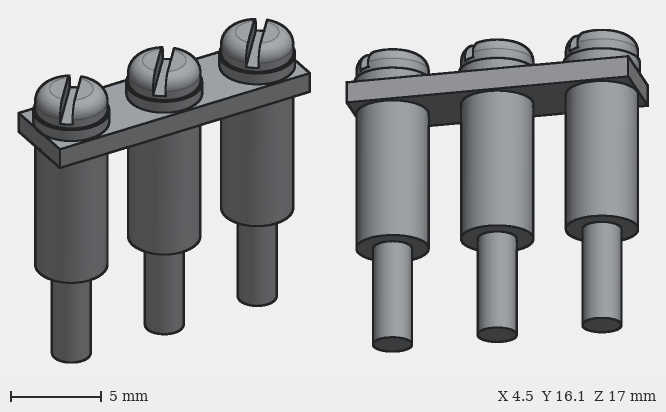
import cadquery as cq

total_height = 17.0
head_height = 1.4
washer_thickness = 0.7
bar_thickness = 1.2
sleeve_length = 8.0

bar_width = 4.5
bar_length = 16.0

screw_count = 3
screw_pitch = 5.95

shank_diameter = 2.16
head_diameter = 4.0
washer_diameter = 4.2
sleeve_diameter = 4.0

head_round = 0.8
under_head_round = 0.1
slot_width = 0.7
slot_depth = 1.1
slot_angle = -38.5

washer_top = total_height - head_height
bar_top = washer_top - washer_thickness
bar_bottom = bar_top - bar_thickness
sleeve_bottom = bar_bottom - sleeve_length

screw_positions = [(i - (screw_count - 1) / 2) * screw_pitch for i in range(screw_count)]


def make_ring(y, outer_diameter, bottom, height):
    """Round ring that fits closely around the screw shank."""
    return (
        cq.Workplane("XY", origin=(0, y, bottom))
        .circle(outer_diameter / 2)
        .circle(shank_diameter / 2)
        .extrude(height)
    )


def make_washer(y):
    """Plain washer between the screw head and the bar."""
    return make_ring(y, washer_diameter, bar_top, washer_thickness)


def make_sleeve(y):
    """Spacer sleeve under the bar."""
    return make_ring(y, sleeve_diameter, sleeve_bottom, sleeve_length)


def make_screw(y):
    """Slotted pan-head screw whose shank runs through the whole stack."""
    shank = cq.Workplane("XY").circle(shank_diameter / 2).extrude(washer_top)
    head = (
        cq.Workplane("XY", origin=(0, 0, washer_top))
        .circle(head_diameter / 2)
        .extrude(head_height)
        .faces(">Z")
        .edges()
        .fillet(head_round)
        .faces("<Z")
        .edges()
        .fillet(under_head_round)
    )
    slot = (
        cq.Workplane("XY", origin=(0, 0, total_height - slot_depth))
        .rect(2 * head_diameter, slot_width)
        .extrude(slot_depth)
        .rotate((0, 0, 0), (0, 0, 1), slot_angle)
    )
    return shank.union(head).cut(slot).translate((0, y, 0))


def make_bar():
    """Flat bar with one shank hole per screw."""
    bar = cq.Workplane("XY", origin=(0, 0, bar_bottom)).rect(bar_width, bar_length).extrude(bar_thickness)
    holes = (
        cq.Workplane("XY", origin=(0, 0, bar_bottom))
        .pushPoints([(0, y) for y in screw_positions])
        .circle(shank_diameter / 2)
        .extrude(bar_thickness)
    )
    return bar.cut(holes)


bodies = [make_bar().val()]
for screw_y in screw_positions:
    bodies.append(make_sleeve(screw_y).val())
    bodies.append(make_washer(screw_y).val())
    bodies.append(make_screw(screw_y).val())

result = cq.Compound.makeCompound(bodies)